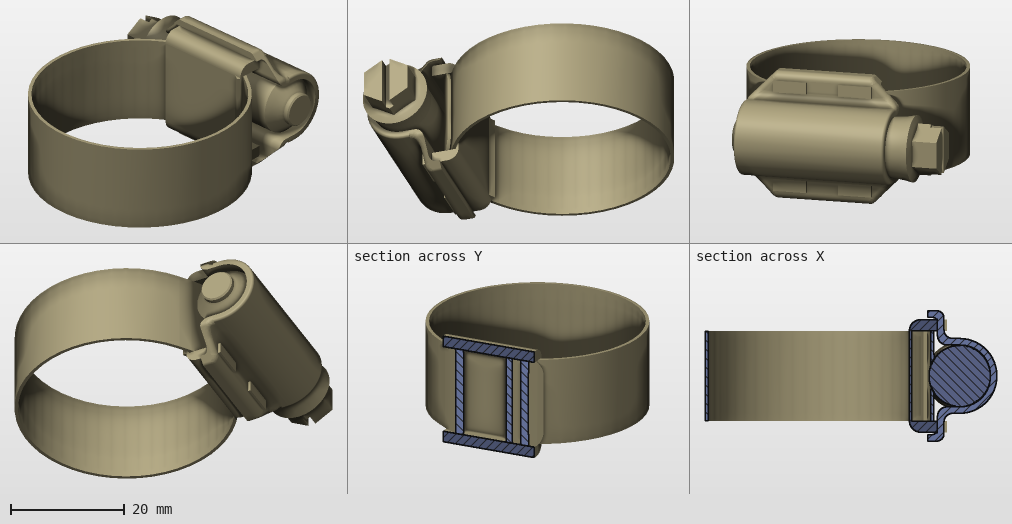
import cadquery as cq
import math


band_radius = 19.7
band_thickness = 0.6
band_width = 15.8
band_inner_radius = band_radius - band_thickness
lap_start_angle = 54.6
ring_end_angle = 100.0
lap_straight = 2.4
lap_radius = 17.45
lap_end_angle = 123.0
tail_corner_radius = 3.7
tail_flat_half_width = 5.15

bore_radius = 5.4
screw_axis_y = band_radius + bore_radius
hex_end_x = -22.7
hex_across_flats = 8.0
slot_width = 1.4
slot_depth = 2.1
head_radius = 5.95
head_rim_x = -17.75
head_dome_height = 0.65
head_dome_flat_radius = 3.6
head_dome_mid_height = 0.4
head_dome_mid_radius = 5.05
head_flare_sag = 0.1
pin_radius = 3.05
pin_end_x = 15.05
pin_chamfer = 0.25
shank_end_x = 11.6

sheet = 1.25
housing_radius = bore_radius + sheet
housing_half_length = 13.7
housing_half_width = 11.5
end_rounding = 0.45
flange_bottom_y = 21.15
flange_top_y = flange_bottom_y + sheet
lip_bottom_y = 19.4
lip_inner_z = housing_half_width - sheet
foot_outer_radius = 1.45
foot_inner_radius = 1.75
foot_top_y = flange_top_y + foot_outer_radius
lip_outer_radius = 1.4
lip_inner_radius = 0.9
outline_corner_radius = 0.8
wing_corner_radius = 1.15
wing_edge_radius = 1.0
wing_root_z = 6.6

saddle_half_length = 9.0
saddle_bottom_y = 16.25
leg_thickness = 2.05
leg_inner_z = band_width / 2
leg_outer_z = leg_inner_z + leg_thickness
saddle_corner_radius = 2.05
plate_thickness = 0.5
tab_top_y = 22.9
tab_gap_half = 2.95
tongue_start_x = 7.7
tongue_length = 1.4
tongue_slope = 30.0


def polar(radius, angle, center=(0.0, 0.0)):
    """Point at a radius and an angle in degrees about a centre."""
    turn = math.radians(angle)
    return (center[0] + radius * math.cos(turn), center[1] + radius * math.sin(turn))


def arc_strip(center, outer, start, end):
    """Curved strip of band between two angles."""
    inner = outer - band_thickness
    middle = (start + end) / 2
    return (
        cq.Workplane("XY", origin=(0, 0, -band_width / 2))
        .moveTo(*polar(outer, start, center))
        .threePointArc(polar(outer, middle, center), polar(outer, end, center))
        .lineTo(*polar(inner, end, center))
        .threePointArc(polar(inner, middle, center), polar(inner, start, center))
        .close()
        .extrude(band_width)
    )


def tail_blank(lap_center):
    """Plate that covers the lap and has the rounded tail end, extruded along the end's radius."""
    half = band_width / 2
    edge_offset = half - tail_flat_half_width
    setback = tail_corner_radius - math.sqrt(tail_corner_radius**2 - edge_offset**2)
    corner_turn = math.asin(edge_offset / tail_corner_radius) / 2
    mid_setback = tail_corner_radius * (1 - math.cos(corner_turn))
    mid_offset = tail_flat_half_width + tail_corner_radius * math.sin(corner_turn)
    reach = 2 * lap_radius
    end_plane = cq.Plane(
        origin=polar(lap_radius, lap_end_angle, lap_center) + (0,),
        xDir=polar(1, lap_end_angle - 90) + (0,),
        normal=polar(1, lap_end_angle) + (0,),
    )
    return (
        cq.Workplane(end_plane)
        .moveTo(0, -tail_flat_half_width)
        .lineTo(0, tail_flat_half_width)
        .threePointArc((mid_setback, mid_offset), (setback, half))
        .lineTo(reach, half)
        .lineTo(reach, -half)
        .lineTo(setback, -half)
        .threePointArc((mid_setback, -mid_offset), (0, -tail_flat_half_width))
        .close()
        .extrude(lap_radius, both=True)
    )


def make_band(screw):
    ring = arc_strip((0, 0), band_radius, ring_end_angle - 360, lap_start_angle)

    along = polar(lap_straight, lap_start_angle + 90)
    straight_outer = polar(band_radius, lap_start_angle)
    straight_inner = polar(band_inner_radius, lap_start_angle)
    straight = (
        cq.Workplane("XY", origin=(0, 0, -band_width / 2))
        .polyline([
            straight_inner,
            straight_outer,
            (straight_outer[0] + along[0], straight_outer[1] + along[1]),
            (straight_inner[0] + along[0], straight_inner[1] + along[1]),
        ])
        .close()
        .extrude(band_width)
    )

    lap_center = polar(band_radius - lap_radius, lap_start_angle, along)
    lap = arc_strip(lap_center, lap_radius, lap_start_angle, lap_end_angle)
    lap = lap.intersect(tail_blank(lap_center))

    return ring.union(straight).union(lap).cut(screw)


def make_screw():
    cone_length = bore_radius - pin_radius
    dome_x = head_rim_x - head_dome_height
    dome_mid = (head_rim_x - head_dome_mid_height, head_dome_mid_radius)
    flare_mid_x = (head_rim_x - housing_half_length) / 2
    flare_mid_radius = (head_radius + bore_radius) / 2 - head_flare_sag
    turned = (
        cq.Workplane("XY")
        .moveTo(dome_x, 0)
        .lineTo(dome_x, head_dome_flat_radius)
        .threePointArc(dome_mid, (head_rim_x, head_radius))
        .threePointArc((flare_mid_x, flare_mid_radius), (-housing_half_length, bore_radius))
        .lineTo(shank_end_x, bore_radius)
        .lineTo(shank_end_x + cone_length, pin_radius)
        .lineTo(pin_end_x - pin_chamfer, pin_radius)
        .lineTo(pin_end_x, pin_radius - pin_chamfer)
        .lineTo(pin_end_x, 0)
        .close()
        .revolve(360, (0, 0), (1, 0))
    )
    across_corners = hex_across_flats / math.cos(math.pi / 6)
    hexagon = (
        cq.Workplane("YZ", origin=(hex_end_x, 0, 0))
        .transformed(rotate=(0, 0, 90))
        .polygon(6, across_corners)
        .extrude(head_rim_x - hex_end_x)
    )
    slot = cq.Workplane("XY").box(2 * slot_depth, slot_width, across_corners).translate((hex_end_x, 0, 0))
    return turned.union(hexagon.cut(slot)).translate((0, screw_axis_y, 0))


def make_saddle():
    length = 2 * saddle_half_length
    channel = (
        cq.Workplane("XY")
        .box(length, tab_top_y - saddle_bottom_y, 2 * leg_outer_z)
        .translate((0, (tab_top_y + saddle_bottom_y) / 2, 0))
        .edges("|X and <Y")
        .fillet(saddle_corner_radius)
    )
    plate_top_y = saddle_bottom_y + plate_thickness
    band_space = (
        cq.Workplane("XY")
        .box(length, tab_top_y - plate_top_y, band_width)
        .translate((0, (tab_top_y + plate_top_y) / 2, 0))
    )
    tab_gap = (
        cq.Workplane("XY")
        .box(2 * tab_gap_half, tab_top_y - flange_bottom_y, 2 * leg_outer_z)
        .translate((0, (tab_top_y + flange_bottom_y) / 2, 0))
    )
    tongue = (
        cq.Workplane("XY")
        .box(tongue_length, plate_thickness, band_width, centered=(False, False, True))
        .rotate((0, 0, 0), (0, 0, 1), -tongue_slope)
        .translate((tongue_start_x, saddle_bottom_y, 0))
    )
    return channel.cut(band_space).cut(tab_gap).union(tongue)


def round_lengthwise_edge(body, y, z, radius):
    """Round the edge that runs along X through the given Y and Z."""
    return body.edges(cq.selectors.NearestToPointSelector((0, y, z))).fillet(radius)


def arch(radius):
    """Solid arch around the screw axis with straight legs down to the feet, as long as the housing."""
    return (
        cq.Workplane("YZ", origin=(-housing_half_length, 0, 0))
        .moveTo(foot_top_y, -radius)
        .lineTo(screw_axis_y, -radius)
        .threePointArc((screw_axis_y + radius, 0), (screw_axis_y, radius))
        .lineTo(foot_top_y, radius)
        .close()
        .extrude(2 * housing_half_length)
    )


def wing():
    """Foot, flange and lip on the +Z side, bent from one sheet."""
    body = (
        cq.Workplane("YZ", origin=(-housing_half_length, 0, 0))
        .polyline([
            (flange_bottom_y, bore_radius),
            (foot_top_y, bore_radius),
            (foot_top_y, housing_radius),
            (flange_top_y, housing_radius),
            (flange_top_y, housing_half_width),
            (lip_bottom_y, housing_half_width),
            (lip_bottom_y, lip_inner_z),
            (flange_bottom_y, lip_inner_z),
        ])
        .close()
        .extrude(2 * housing_half_length)
    )
    bend = (
        cq.Workplane("YZ", origin=(-housing_half_length, 0, 0))
        .rect(foot_outer_radius, foot_outer_radius, centered=False)
        .extrude(2 * housing_half_length)
        .translate((0, flange_top_y, housing_radius))
    )
    bend_hollow = (
        cq.Workplane("YZ", origin=(-housing_half_length, foot_top_y, housing_radius + foot_outer_radius))
        .circle(foot_outer_radius)
        .extrude(2 * housing_half_length)
    )
    body = body.union(bend.cut(bend_hollow))
    body = round_lengthwise_edge(body, flange_bottom_y, bore_radius, foot_inner_radius)
    body = round_lengthwise_edge(body, flange_top_y, housing_half_width, lip_outer_radius)
    return round_lengthwise_edge(body, flange_bottom_y, lip_inner_z, lip_inner_radius)


def wing_outline():
    """Block that trims the wing ends at 45 degrees, with rounded upright corners."""
    height = 2 * (flange_top_y - lip_bottom_y)
    return (
        cq.Workplane("XY")
        .box(2 * housing_half_length, 2 * height, 2 * housing_half_width)
        .edges("|Y")
        .chamfer(housing_half_width - wing_root_z)
        .edges("|Y and (>Z or <Z)")
        .fillet(outline_corner_radius)
        .edges("|Y and (>X or <X)")
        .fillet(wing_corner_radius)
        .translate((0, flange_bottom_y, 0))
    )


def trimmed_wing():
    """Wing on the +Z side with its ends cut at 45 degrees and the outer edges of the cuts rounded."""
    body = wing().intersect(wing_outline())
    edge_z = (housing_radius + housing_half_width) / 2
    edge_x = housing_half_length - (edge_z - wing_root_z)
    for x in (-edge_x, edge_x):
        cut_edge = body.edges(cq.selectors.NearestToPointSelector((x, flange_top_y, edge_z)))
        body = cut_edge.fillet(wing_edge_radius)
    return body


def make_housing(saddle):
    tunnel = arch(housing_radius).faces("<X or >X").edges("not <Y").fillet(end_rounding)
    tunnel = tunnel.cut(arch(bore_radius))
    upper_wing = trimmed_wing()
    lower_wing = upper_wing.mirror("XY")
    return tunnel.union(upper_wing).union(lower_wing).cut(saddle)


screw = make_screw()
saddle = make_saddle()
housing = make_housing(saddle)
band = make_band(screw)

bodies = [housing, screw, saddle, band]
result = cq.Compound.makeCompound([body.solids().val() for body in bodies])